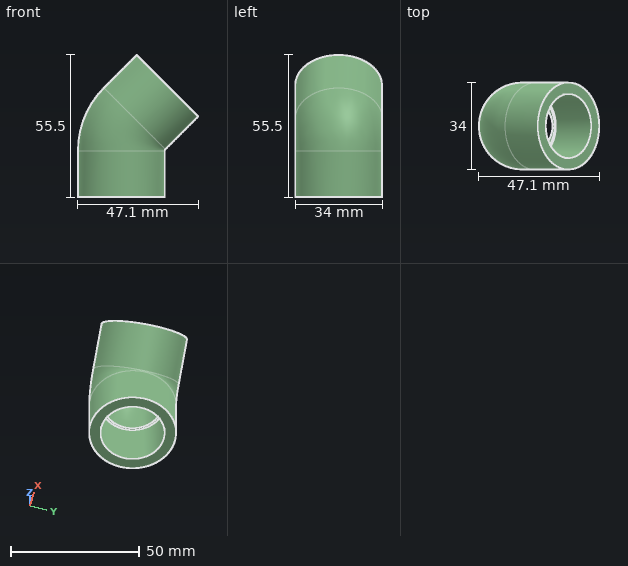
import cadquery as cq
import math

outer_diameter = 34.0
overall_height = 55.55
bend_angle = 45.0
socket_length = 18.15
socket_bore = 25.0
socket_depth = 19.45
passage_diameter = 23.15

bend_sine = math.sin(math.radians(bend_angle))
outer_bend_radius = (overall_height - socket_length) / bend_sine - socket_length
bend_radius = outer_bend_radius - outer_diameter / 2

bend_start = cq.Vector(0, 0, socket_length)
bend_end = bend_start + cq.Vector(
    bend_radius * (1 - math.cos(math.radians(bend_angle))), 0, bend_radius * bend_sine
)
lower_axis = cq.Vector(0, 0, 1)
upper_axis = cq.Vector(bend_sine, 0, math.cos(math.radians(bend_angle)))
lower_mouth = cq.Vector(0, 0, 0)
upper_mouth = bend_end + upper_axis * socket_length


def cylinder(diameter, length, base, axis):
    return cq.Workplane(cq.Solid.makeCylinder(diameter / 2, length, base, axis))


def elbow(diameter):
    """Solid round bar following the whole centreline."""
    bend = (
        cq.Workplane("XY", origin=bend_start.toTuple())
        .circle(diameter / 2)
        .revolve(bend_angle, (bend_radius, 0, 0), (bend_radius, 1, 0))
    )
    lower = cylinder(diameter, socket_length, lower_mouth, lower_axis)
    upper = cylinder(diameter, socket_length, bend_end, upper_axis)
    return lower.union(bend).union(upper)


result = elbow(outer_diameter).cut(elbow(passage_diameter))
for mouth, inward in ((lower_mouth, lower_axis), (upper_mouth, upper_axis * -1)):
    result = result.cut(cylinder(socket_bore, socket_depth, mouth, inward))